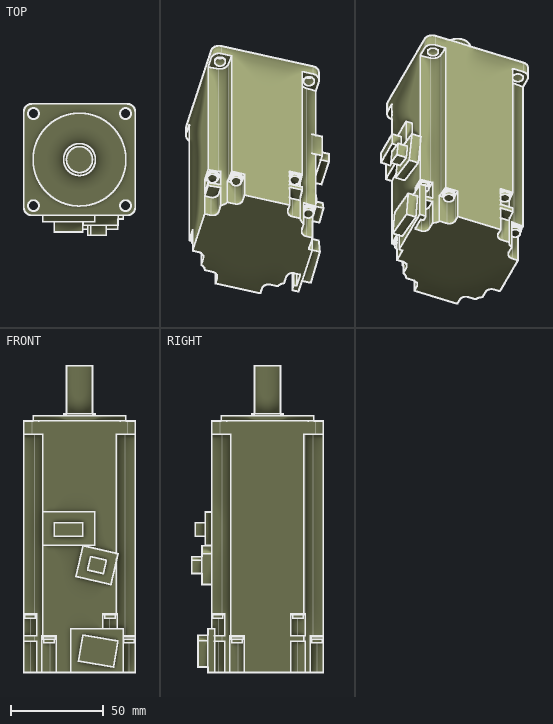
import cadquery as cq

width = 60.1
half_width = width / 2
total_height = 165.1
body_height = 128.1
flange_top = 135.4
pilot_top = 138.2
collar_top = 139.2
flange_corner_radius = 4.5
pilot_diameter = 50.0
collar_diameter = 17.2
shaft_diameter = 14.0
bolt_offset = 24.8
bolt_hole_diameter = 5.8

groove_mouth = 19.6
groove_corner = 20.3
groove_radius = 4.8

pocket_across = 12.5
pocket_floor = 23.1
pocket_radius = 3.5
upper_pocket_top = 31.7
lower_pocket_top = 19.6
ledge_bottom = 16.8

screw_across = 16.3
screw_depth = 26.7
head_diameter = 5.6
head_height = 2.0
screw_collar_diameter = 6.5
screw_collar_height = 1.2
washer_diameter = 6.6
washer_height = 0.5

block_depth = 5.5

upper_plate_center = (-5.8, 77.5)
upper_plate_size = (28.0, 18.0)
upper_block_center = (-6.0, 77.0)
upper_block_size = (15.5, 7.5)
upper_back = 26.9
upper_front = 33.5

angled_center = (9.4, 57.8)
angled_plate_size = (19.3, 17.0)
angled_block_size = (8.8, 7.5)
angled_front = 35.3
angled_tilt = 13.0

base_plate_size = (28.4, 23.6)
base_plate_center = (9.4, base_plate_size[1] / 2)
base_block_center = (10.0, 11.5)
base_block_size = (19.2, 14.2)
base_lip_width = 3.5
base_lip_back = 28.4
base_front = 32.0
base_tilt = 9.6


def corner_groove():
    """Full-height column in the -X -Y corner with flared walls and a rounded inner edge."""
    outline = [
        (-half_width, -half_width),
        (-groove_mouth, -half_width),
        (-groove_corner, -groove_corner),
        (-half_width, -groove_mouth),
    ]
    return (
        cq.Workplane("XY")
        .polyline(outline)
        .close()
        .extrude(body_height)
        .edges(cq.selectors.NearestToPointSelector((-groove_corner, -groove_corner, body_height / 2)))
        .fillet(groove_radius)
    )


def edge_pocket(bottom, top):
    """Pocket beside a groove on the -X face, open towards -X and towards the groove."""
    length_x = half_width - pocket_floor
    length_y = groove_corner + groove_radius / 2 - pocket_across
    return (
        cq.Workplane("XY", origin=(-half_width, -pocket_across - length_y, bottom))
        .rect(length_x, length_y, centered=False)
        .extrude(top - bottom)
        .edges("|Z and >X and >Y")
        .fillet(pocket_radius)
    )


def hanging_screw(ceiling, tiers):
    """Stack of discs, given as (diameter, height), top first, below a pocket ceiling on the -X face."""
    screw = None
    bottom = ceiling
    for diameter, height in tiers:
        bottom -= height
        disc = (
            cq.Workplane("XY", origin=(-screw_depth, -screw_across, bottom))
            .circle(diameter / 2)
            .extrude(height)
        )
        screw = disc if screw is None else screw.union(disc)
    return screw


def box_on_front(center, size, back, front, tilt=0.0):
    """Box between two distances from the axis, turned clockwise by tilt as seen from -Y."""
    center_x, center_z = center
    return (
        cq.Workplane("XZ", origin=(center_x, -back, center_z))
        .transformed(rotate=(0, 0, -tilt))
        .rect(*size)
        .extrude(front - back)
    )


def around_axis(shape):
    """Four copies of a shape, a quarter turn apart."""
    return [shape.rotate((0, 0, 0), (0, 0, 1), 90 * turn) for turn in range(4)]


body = cq.Workplane("XY").rect(width, width).extrude(body_height)
cutters = [corner_groove()]

cutters.append(edge_pocket(lower_pocket_top, upper_pocket_top))
cutters.append(edge_pocket(0, ledge_bottom))
cutters.append(edge_pocket(0, lower_pocket_top).mirror("XZ"))
for cutter in cutters:
    for copy in around_axis(cutter):
        body = body.cut(copy)

washer = (washer_diameter, washer_height)
screw_collar = (screw_collar_diameter, screw_collar_height)
head = (head_diameter, head_height)
screws = [
    hanging_screw(upper_pocket_top, [washer, head]),
    hanging_screw(lower_pocket_top, [washer, screw_collar, head]).mirror("XZ"),
]
for screw in screws:
    for copy in around_axis(screw):
        body = body.union(copy)

flange = (
    cq.Workplane("XY", origin=(0, 0, body_height))
    .rect(width, width)
    .extrude(flange_top - body_height)
    .edges("|Z")
    .fillet(flange_corner_radius)
    .faces(">Z")
    .workplane()
    .rect(2 * bolt_offset, 2 * bolt_offset, forConstruction=True)
    .vertices()
    .hole(bolt_hole_diameter)
)
body = body.union(flange)

for diameter, bottom, top in [
    (pilot_diameter, flange_top, pilot_top),
    (collar_diameter, pilot_top, collar_top),
    (shaft_diameter, collar_top, total_height),
]:
    disc = cq.Workplane("XY", origin=(0, 0, bottom)).circle(diameter / 2).extrude(top - bottom)
    body = body.union(disc)

upper_block_front = upper_front + block_depth
upper_plate = box_on_front(upper_plate_center, upper_plate_size, upper_back, upper_front)
upper_block = box_on_front(upper_block_center, upper_block_size, upper_front, upper_block_front)

angled_block_front = angled_front + block_depth
angled_plate = box_on_front(angled_center, angled_plate_size, half_width, angled_front, angled_tilt)
angled_block = box_on_front(angled_center, angled_block_size, angled_front, angled_block_front, angled_tilt)

base_block_front = base_front + block_depth
base_plate = box_on_front(base_plate_center, base_plate_size, half_width, base_front)
base_block = box_on_front(base_block_center, base_block_size, base_front, base_block_front, base_tilt)

base_plate_height = base_plate_size[1]
base_plate_end = base_plate_center[0] + base_plate_size[0] / 2
base_lip_center = (base_plate_end - base_lip_width / 2, base_plate_height / 2)
base_lip = box_on_front(base_lip_center, (base_lip_width, base_plate_height), base_lip_back, half_width)

connector_parts = [
    upper_plate,
    upper_block,
    angled_plate,
    angled_block,
    base_plate,
    base_block,
    base_lip,
]
result = body
for piece in connector_parts:
    result = result.union(piece)